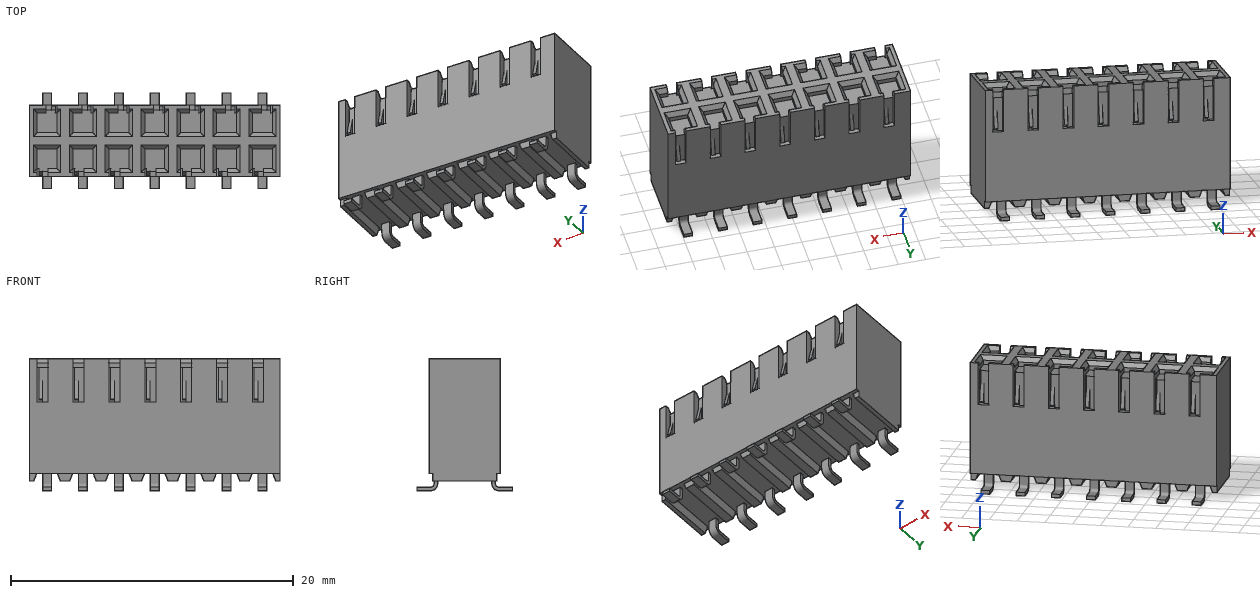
import cadquery as cq


length = 17.75
depth = 5.05
top_z = 9.35
housing_bottom_z = 1.22
columns = 7
pitch = 2.54
row_y = -pitch / 2
front_y = -depth / 2

rib_bottom_z = 0.7
rib_depth = 4.55
rib_root_width = 1.1
rib_tip_width = 0.67

mouth_side = 1.93
cell_side = 1.4
lead_in_depth = 0.32
cell_floor_z = top_z - 0.64
cell_outer_y = row_y - cell_side / 2

slot_left = -cell_side / 2
slot_right = 0.07
slot_floor_z = top_z - 3.05

contact_left = -0.59
contact_outer_y = front_y + 0.35
contact_bottom_z = top_z - 2.91
barb_top_z = top_z - 1.6
barb_tip_y = front_y + 0.05
barb_tip_rise = 0.07
lead_width = 0.64
lead_thickness = 0.27
lead_reach = 6.76 / 2
bend_inner_radius = 0.25
bend_outer_radius = bend_inner_radius + lead_thickness
lead_root_z = housing_bottom_z + 0.35


def box(x_range, y_range, z_range):
    """Block spanning the given (low, high) ranges."""
    sizes = [high - low for low, high in (x_range, y_range, z_range)]
    corner = (x_range[0], y_range[0], z_range[0])
    return cq.Workplane("XY").box(*sizes, centered=False).translate(corner)


def extrude_along_x(side_profile, x_low, x_high):
    """Extrude a closed YZ profile from x_low to x_high."""
    return side_profile.extrude(x_high - x_low).translate((x_low, 0, 0))


def make_rib():
    """Tapered standoff rib running across the housing, centred on x = 0."""
    return (
        cq.Workplane("XZ")
        .moveTo(-rib_root_width / 2, housing_bottom_z)
        .lineTo(-rib_tip_width / 2, rib_bottom_z)
        .lineTo(rib_tip_width / 2, rib_bottom_z)
        .lineTo(rib_root_width / 2, housing_bottom_z)
        .close()
        .extrude(rib_depth / 2, both=True)
    )


def make_socket():
    """Square socket with a tapered lead-in, centred on x = 0 in the front row."""
    lead_in = (
        cq.Workplane("XY", origin=(0, row_y, top_z))
        .rect(mouth_side, mouth_side)
        .workplane(offset=-lead_in_depth)
        .rect(cell_side, cell_side)
        .loft(ruled=True)
    )
    half = cell_side / 2
    cell = box((-half, half), (row_y - half, row_y + half), (cell_floor_z, top_z))
    return lead_in.union(cell)


def make_slot():
    """Opening in the outer wall, leaving the face of the contact standing inside."""
    opening = box((slot_left, slot_right), (front_y, cell_outer_y), (slot_floor_z, top_z))
    contact_face = box(
        (contact_left, slot_right), (contact_outer_y, cell_outer_y), (contact_bottom_z, cell_floor_z)
    )
    contact_stem = box(
        (-lead_width / 2, slot_right), (contact_outer_y, cell_outer_y), (slot_floor_z, contact_bottom_z)
    )
    return opening.cut(contact_face).cut(contact_stem)


def make_barb():
    """Wedge on the contact face that leans outward towards its lower end."""
    profile = (
        cq.Workplane("YZ")
        .moveTo(contact_outer_y, barb_top_z)
        .lineTo(barb_tip_y, contact_bottom_z + barb_tip_rise)
        .lineTo(contact_outer_y, contact_bottom_z)
        .lineTo(cell_outer_y, contact_bottom_z)
        .lineTo(cell_outer_y, barb_top_z)
        .close()
    )
    return extrude_along_x(profile, contact_left, -lead_width / 2)


def make_lead():
    """Lead that drops from the housing and bends outward into a flat foot."""
    inner_y = contact_outer_y + lead_thickness
    profile = (
        cq.Workplane("YZ")
        .moveTo(contact_outer_y, lead_root_z)
        .lineTo(contact_outer_y, bend_outer_radius)
        .radiusArc((contact_outer_y - bend_inner_radius, lead_thickness), bend_inner_radius)
        .lineTo(-lead_reach, lead_thickness)
        .lineTo(-lead_reach, 0)
        .lineTo(inner_y - bend_outer_radius, 0)
        .radiusArc((inner_y, bend_outer_radius), -bend_outer_radius)
        .lineTo(inner_y, lead_root_z)
        .close()
    )
    return extrude_along_x(profile, -lead_width / 2, lead_width / 2)


def in_both_rows(feature):
    """Shapes of a front-row feature repeated along both rows."""
    turned = feature.rotate((0, 0, 0), (0, 0, 1), 180)
    offsets = [(column - (columns - 1) / 2) * pitch for column in range(columns)]
    return [row.translate((x, 0, 0)).val() for row in (feature, turned) for x in offsets]


def make_housing():
    """Plain housing block with a standoff rib at each column boundary."""
    x_range = (-length / 2, length / 2)
    y_range = (-depth / 2, depth / 2)
    body = box(x_range, y_range, (housing_bottom_z, top_z))
    for boundary in range(columns + 1):
        body = body.union(make_rib().translate(((boundary - columns / 2) * pitch, 0, 0)))
    return body.intersect(box(x_range, y_range, (rib_bottom_z, top_z)))


openings = in_both_rows(make_socket().union(make_slot()))
contacts = in_both_rows(make_barb()) + in_both_rows(make_lead())

housing = make_housing().val().cut(*openings)
result = cq.Workplane("XY").newObject([housing.fuse(*contacts)])